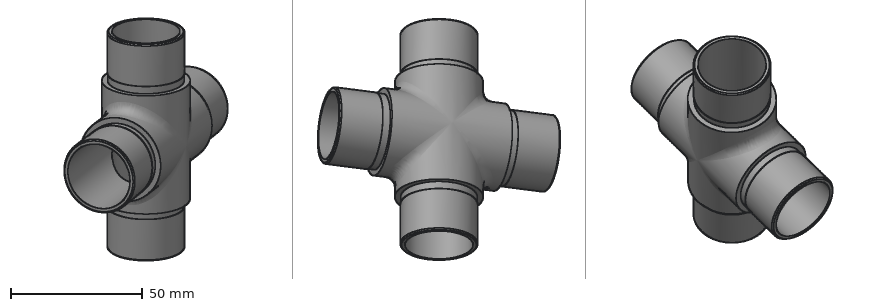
import cadquery as cq

overall_length = 88.0
hub_length = 48.05
hub_diameter = 33.7
spigot_diameter = 29.6
neck_diameter = 29.2
neck_length = 3.0
bore_diameter = 26.0
end_chamfer = 0.5
crotch_radius = 4.0


def run_cylinder(plane, diameter, length):
    """Cylinder centred on the crossing point, along the normal of the plane."""
    return cq.Workplane(plane).circle(diameter / 2).extrude(length / 2, both=True)


def crossing_cylinders(diameter, length):
    """Two equal cylinders crossing at right angles, along Y and Z."""
    return run_cylinder("XY", diameter, length).union(run_cylinder("XZ", diameter, length))


def spigot_run(plane):
    """Straight run with chamfered ends and a neck beside the hub at each end."""
    neck_span = hub_length + 2 * neck_length
    spigots = run_cylinder(plane, spigot_diameter, overall_length).edges("%CIRCLE").chamfer(end_chamfer)
    neck_relief = run_cylinder(plane, spigot_diameter, neck_span).cut(
        run_cylinder(plane, neck_diameter, neck_span)
    )
    return spigots.cut(neck_relief)


hub = crossing_cylinders(hub_diameter, hub_length)
crotch_edges = hub.edges("%ELLIPSE")
hub = crotch_edges.fillet(crotch_radius)

result = hub.union(spigot_run("XY")).union(spigot_run("XZ"))
result = result.cut(crossing_cylinders(bore_diameter, overall_length))